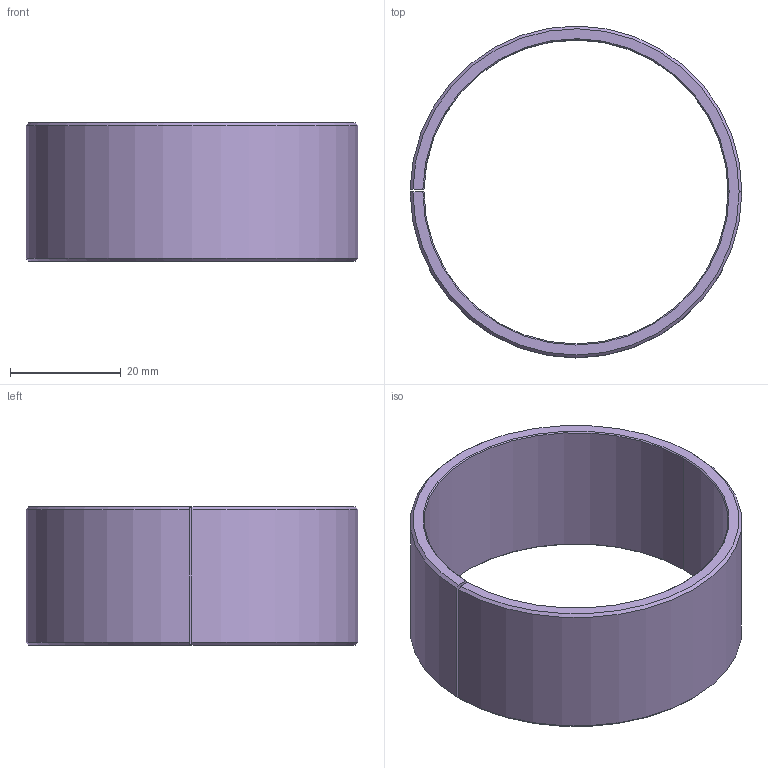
import cadquery as cq

outer_diameter = 60.0
inner_diameter = 55.0
length = 25.0
outer_chamfer = 0.5
inner_chamfer = 0.2
slit_width = 0.5

outer_radius = outer_diameter / 2
inner_radius = inner_diameter / 2


def chamfered_ring():
    """Revolve the wall section about Z, with its base on Z = 0."""
    section = (
        cq.Workplane("XZ")
        .moveTo(inner_radius + inner_chamfer, 0)
        .lineTo(outer_radius - outer_chamfer, 0)
        .lineTo(outer_radius, outer_chamfer)
        .lineTo(outer_radius, length - outer_chamfer)
        .lineTo(outer_radius - outer_chamfer, length)
        .lineTo(inner_radius + inner_chamfer, length)
        .lineTo(inner_radius, length - inner_chamfer)
        .lineTo(inner_radius, inner_chamfer)
        .close()
    )
    return section.revolve(360, (0, 0, 0), (0, 1, 0))


def slit_cutter():
    """Radial slab that opens the wall on the -X side over the full length."""
    slab = cq.Workplane("XY").box(outer_radius, slit_width, length, centered=False)
    return slab.translate((-outer_radius, 0, 0))


result = chamfered_ring().cut(slit_cutter())